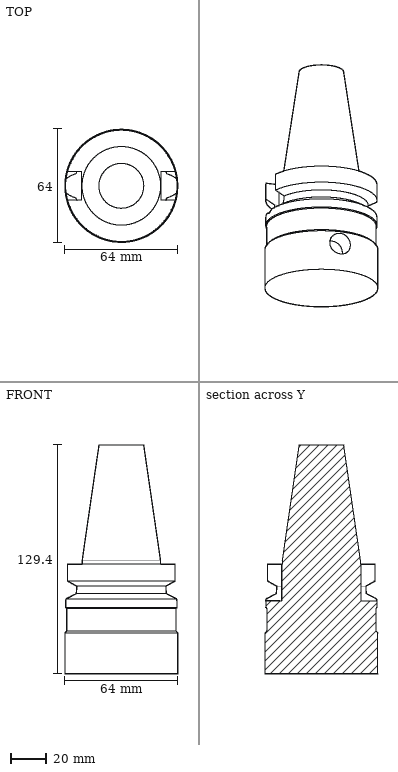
import cadquery as cq
import math


gauge_diameter = 44.45
taper_length = 65.4
taper_ratio = 7 / 24
gauge_height = 64.0

flange_diameter = 63.0
flange_top_gap = 2.0
flange_reach = 27.0

groove_drop = 16.6
groove_mouth = 10.0
groove_floor_diameter = 53.0
groove_wall_angle = 30.0

slot_width = 16.1
slot_bottom_drop = 22.6
slot_floor_offset = 22.5

neck_diameter = 62.0
nose_diameter = 64.0
nose_shoulder_height = 23.1

screw_hole_diameter = 12.3
screw_hole_height = 16.0
screw_hole_depth = 14.0

small_end_diameter = gauge_diameter - taper_length * taper_ratio
total_height = gauge_height + taper_length
flange_top = gauge_height - flange_top_gap
flange_bottom = gauge_height - flange_reach
groove_height = gauge_height - groove_drop
nose_step = (nose_diameter - neck_diameter) / 2
flange_step = (flange_diameter - neck_diameter) / 2
groove_depth = (flange_diameter - groove_floor_diameter) / 2
groove_wall_rise = groove_depth * math.tan(math.radians(groove_wall_angle))


def make_body():
    """Revolve the half profile, listed from the nose face up to the small end of the taper."""
    flange_radius = flange_diameter / 2
    groove_floor_radius = groove_floor_diameter / 2
    groove_low = groove_height - groove_mouth / 2
    groove_high = groove_height + groove_mouth / 2
    profile = [
        (0, 0),
        (nose_diameter / 2, 0),
        (nose_diameter / 2, nose_shoulder_height),
        (neck_diameter / 2, nose_shoulder_height + nose_step),
        (neck_diameter / 2, flange_bottom),
        (flange_radius, flange_bottom + flange_step),
        (flange_radius, groove_low),
        (groove_floor_radius, groove_low + groove_wall_rise),
        (groove_floor_radius, groove_high - groove_wall_rise),
        (flange_radius, groove_high),
        (flange_radius, flange_top),
        (gauge_diameter / 2, flange_top),
        (gauge_diameter / 2, gauge_height),
        (small_end_diameter / 2, total_height),
        (0, total_height),
    ]
    return cq.Workplane("XZ").polyline(profile).close().revolve(360, (0, 0), (0, 1))


def make_drive_slot(side):
    """Round-bottomed slot cutter on the +X (side = 1) or -X (side = -1) side of the flange."""
    half_width = slot_width / 2
    slot_bottom = gauge_height - slot_bottom_drop
    arc_height = slot_bottom + half_width
    slot_depth = nose_diameter / 2 - slot_floor_offset
    return (
        cq.Workplane("YZ", origin=(side * slot_floor_offset, 0, 0))
        .moveTo(-half_width, flange_top)
        .lineTo(-half_width, arc_height)
        .threePointArc((0, slot_bottom), (half_width, arc_height))
        .lineTo(half_width, flange_top)
        .close()
        .extrude(side * slot_depth)
    )


def make_screw_hole():
    """Blind radial hole cutter entering the nose from +Y."""
    hole_mouth = (0, nose_diameter / 2, screw_hole_height)
    return (
        cq.Workplane("XZ", origin=hole_mouth)
        .circle(screw_hole_diameter / 2)
        .extrude(screw_hole_depth)
    )


result = make_body()
for side in (1, -1):
    result = result.cut(make_drive_slot(side))
result = result.cut(make_screw_hole())